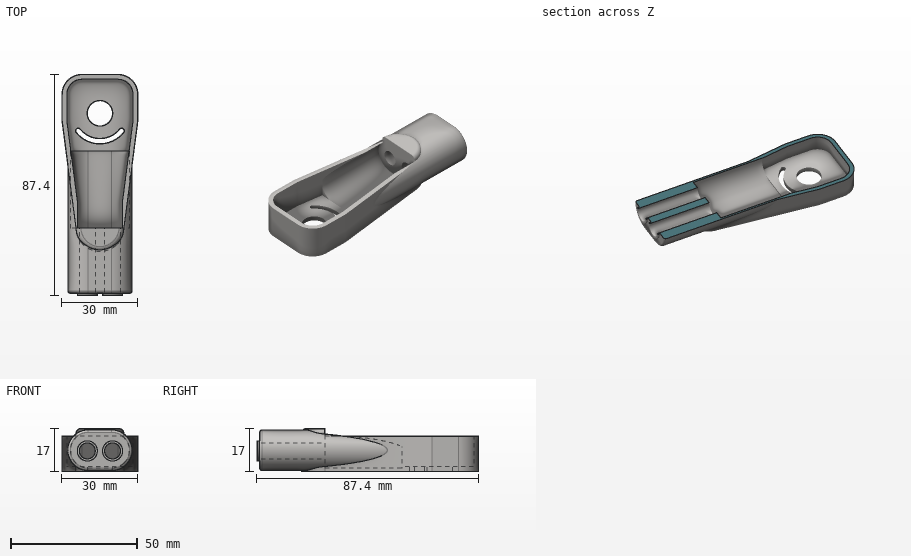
import cadquery as cq
import math

length = 87.4
width = 30.0
height = 17.0

rim_z = 14
floor_z = 2.0
wall = 1.9
corner_radius = 8.0
inner_corner_radius = corner_radius - wall
taper_start_y = 69.1
neck_y = 26.7
neck_half_width = 9.4
nose_length = 9.2
nose_fillet = 1.9

handle_radius = 8.05
hollow_radius = 7
handle_arc_x = 4.6
handle_z = 8.4
handle_end_y = 1.0
handle_end_fillet = 1.0
trough_y = 57.1

sleeve_x = 5.0
sleeve_z = 8.1
sleeve_diameter = 8.0
sleeve_bore = 6.3
sleeve_overlap = 0.9

pivot_y = 72.05
pivot_diameter = 10.0
slot_radius = 11.0
slot_width = 2.0
slot_half_angle = math.radians(51)

half_width = width / 2


def tray_outline(z):
    """Tray outline with a tapered neck and a round nose, corners still sharp."""
    return (
        cq.Workplane("XY", origin=(0, 0, z))
        .moveTo(-half_width, length)
        .lineTo(-half_width, taper_start_y)
        .lineTo(-neck_half_width, neck_y)
        .threePointArc((0, neck_y - nose_length), (neck_half_width, neck_y))
        .lineTo(half_width, taper_start_y)
        .lineTo(half_width, length)
        .close()
    )


def tray_cavity(bottom_z):
    """Space inside the tray walls, from bottom_z upward, closed at the neck."""
    x = half_width - wall
    neck_x = neck_half_width - wall
    return (
        cq.Workplane("XY", origin=(0, 0, bottom_z))
        .moveTo(-x, length - wall)
        .lineTo(-x, taper_start_y)
        .lineTo(-neck_x, neck_y)
        .lineTo(neck_x, neck_y)
        .lineTo(x, taper_start_y)
        .lineTo(x, length - wall)
        .close()
        .extrude(height)
        .edges("|Z and >Y")
        .fillet(inner_corner_radius)
    )


def stadium_bar(radius, start_y, end_y):
    """Bar along Y with the rounded handle section."""
    return (
        cq.Workplane("XZ", origin=(0, start_y, handle_z))
        .slot2D(2 * (handle_arc_x + radius), 2 * radius)
        .extrude(start_y - end_y)
    )


def y_cylinder(x, diameter, end_y):
    """Cylinder along Y from the sleeve tips to end_y."""
    return cq.Workplane("XZ", origin=(x, 0, sleeve_z)).circle(diameter / 2).extrude(-end_y)


def y_slab(start_y, end_y):
    """Block wider and taller than the part between two Y positions, used to select a region."""
    return (
        cq.Workplane("XY", origin=(0, start_y, 0))
        .box(2 * width, end_y - start_y, 2 * height, centered=(True, False, False))
    )


def curved_slot():
    """Arc slot around the pivot hole, with round ends."""
    def point(radius, angle):
        return (radius * math.sin(angle), pivot_y - radius * math.cos(angle))

    inner = slot_radius - slot_width / 2
    outer = slot_radius + slot_width / 2
    tip_angle = slot_half_angle + slot_width / 2 / slot_radius
    a = slot_half_angle
    return (
        cq.Workplane("XY")
        .moveTo(*point(inner, -a))
        .threePointArc(point(inner, 0), point(inner, a))
        .threePointArc(point(slot_radius, tip_angle), point(outer, a))
        .threePointArc(point(outer, 0), point(outer, -a))
        .threePointArc(point(slot_radius, -tip_angle), point(inner, -a))
        .close()
        .extrude(rim_z)
    )


tray = tray_outline(0).extrude(rim_z).edges("|Z and >Y").fillet(corner_radius)
handle = stadium_bar(handle_radius, handle_end_y, trough_y)
handle = handle.faces("<Y").edges().fillet(handle_end_fillet)
above_rim = tray_outline(rim_z).extrude(height).intersect(y_slab(neck_y, length))
body = tray.union(handle.cut(above_rim))

nose = (
    tray_outline(handle_z)
    .extrude(height - handle_z)
    .cut(y_slab(neck_y, length))
    .faces(">Z")
    .edges("<Y")
    .fillet(nose_fillet)
)
body = body.union(nose)

floor_pocket = tray_cavity(floor_z).intersect(y_slab(trough_y, length))
upper_pocket = tray_cavity(handle_z)
trough = stadium_bar(hollow_radius, neck_y, trough_y)
body = body.cut(floor_pocket).cut(upper_pocket).cut(trough)

for x in (-sleeve_x, sleeve_x):
    body = body.union(y_cylinder(x, sleeve_diameter, handle_end_y + sleeve_overlap))
    body = body.cut(y_cylinder(x, sleeve_bore, neck_y))

pivot_hole = cq.Workplane("XY").center(0, pivot_y).circle(pivot_diameter / 2).extrude(rim_z)
result = body.cut(pivot_hole).cut(curved_slot())